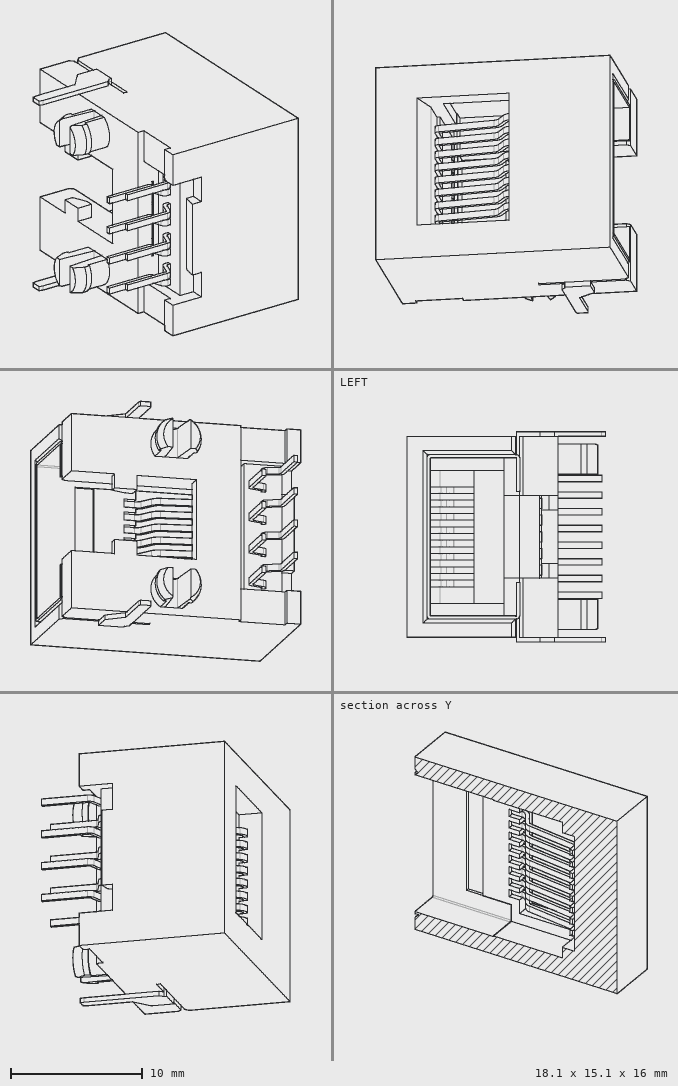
import cadquery as cq
import math


length = 18.1
depth = 11.5
half_height = 7.64

cavity_half = 6.03
cavity_top = 9.74
floor_y = 2.95
mouth_chamfer = 0.3
mouth_rim = 0.22
shield_bend = 0.1
shield_end = 7.02
inner_step = 0.05
cavity_end = 13.27
corner_front = 13.14
jamb_front = 13.2
corner_top = 4.13

slot_top = 3.25
slot_chamfer = 0.29
ledge_top = 3.17
ledge_inner = 3.45

channel_half = 3.13
channel_end = 9.86
bridge_top = 1.25
channel_back = 13.32
tab_start = 3.4
tab_slope_end = 4.6
tab_end = 5.18
tab_inner = 2.03
tab_front_height = 0.7

ceiling_recess_start = 3.02
ceiling_recess_end = 4.5
ceiling_recess_half = 4.52
ceiling_recess_depth = 0.25
window_start = 7.8

bay_half = 5.05
bay_start = 13.38
block_front = 14.03
block_upper_front = 14.28
block_bevel_start = 9.0
block_bevel_run = 0.62
shelf_top = 6.4
block_bottom = 1.41
notch_depth = 0.52
notch_end = 17.0
exit_roof = 2.62
rear_lip_half = 2.99
rear_lip_front = 2.0
rear_lip_rear = 1.8

post_x = 7.87
post_z = 5.7
post_flat_outer = 7.05
post_flat_inner = 4.75
shank_radius = 1.61
lip_radius = 1.75
tip_radius = 1.45
lip_top = -1.74
lip_bottom = -2.19
post_tip = -3.02
post_root = 0.18
split_root_half = 0.49
split_tip_half = 0.7

leg_face = 8.0
leg_left = 3.02
leg_top_right = 5.01
leg_right = 5.32
leg_pin_left = 4.36
leg_chamfer_bottom = 2.66
leg_shoulder = 1.4
leg_neck = 0.29
leg_tip_start = -3.3
leg_tip = -3.6
leg_tip_taper = 0.07

contact_count = 8
wire_width = 0.5
wire_thick = 0.3
contact_pitch = 1.01
groove_start = 6.86
groove_width = 0.62
groove_roof = 10.35
spring_drop_x = 8.16
spring_heel_x = 9.1
spring_heel_y = 8.69
spring_rear_x = 14.0
spring_rear_y = 8.07
spring_bend = 0.55
spring_rear_bend = 0.04
pin_pitch = 1.27
stem_x = 15.51
row_offset = 1.25
pin_tip = -3.33
stem_root = 1.63
stem_low = 0.98
pin_corner = 0.55
pin_bend = 0.15


def box(x0, x1, y0, y1, z0, z1):
    return cq.Workplane("XY").box(x1 - x0, y1 - y0, z1 - z0, centered=False).translate((x0, y0, z0))


def prism(points, z0, z1):
    """Extrude an XY outline between two heights."""
    return cq.Workplane("XY").workplane(offset=z0).polyline(points).close().extrude(z1 - z0)


def both_sides(shape):
    """A shape together with its mirror image across Z = 0."""
    return shape.union(shape.mirror("XY"))


def bent_wire(path, z_mid, inner_bends):
    """Flat wire along a path of centreline corners in XY, rounded at each bend."""
    angles = [math.atan2(b[1] - a[1], b[0] - a[0]) for a, b in zip(path, path[1:])]
    angles_before = angles[:1] + angles
    angles_after = angles + angles[-1:]
    left = []
    right = []
    for (x, y), before, after in zip(path, angles_before, angles_after):
        normal = (before + after + math.pi) / 2
        reach = wire_thick / 2 / math.cos((after - before) / 2)
        dx = reach * math.cos(normal)
        dy = reach * math.sin(normal)
        left.append((x + dx, y + dy))
        right.append((x - dx, y - dy))
    wire = prism(left + right[::-1], z_mid - wire_width / 2, z_mid + wire_width / 2)
    for i, inner_bend in enumerate(inner_bends, start=1):
        left_bend = inner_bend
        right_bend = inner_bend + wire_thick
        if angles[i] < angles[i - 1]:
            left_bend, right_bend = right_bend, left_bend
        for (x, y), bend in ((left[i], left_bend), (right[i], right_bend)):
            corner = cq.selectors.NearestToPointSelector((x, y, z_mid))
            wire = wire.edges("|Z").edges(corner).fillet(bend)
    return wire


def row_positions(pitch):
    return [(i - (contact_count - 1) / 2) * pitch for i in range(contact_count)]


def mouth():
    """Tapered lead-in around the three closed sides of the plug opening."""
    rim_half = cavity_half + mouth_rim
    rim_top = cavity_top + mouth_rim

    def section(x, half, top):
        points = [(slot_top, -half), (top, -half), (top, half), (slot_top, half)]
        return [cq.Vector(x, y, z) for y, z in points]

    wires = [
        cq.Wire.makePolygon(section(0, rim_half + mouth_chamfer, rim_top + mouth_chamfer), close=True),
        cq.Wire.makePolygon(section(mouth_chamfer, rim_half, rim_top), close=True),
    ]
    return cq.Workplane(obj=cq.Solid.makeLoft(wires, True))


def side_slot():
    """Slot through the side wall, flared at the front."""
    flare = [
        (0, floor_y - slot_chamfer),
        (slot_chamfer, floor_y),
        (shield_end, floor_y),
        (shield_end, slot_top),
        (slot_chamfer, slot_top),
        (0, slot_top + slot_chamfer),
    ]
    return both_sides(prism(flare, channel_half, half_height))


def shield_space(x_end):
    """Space inside the shield, with its bent upper corners."""
    space = box(0, x_end, floor_y, cavity_top, -cavity_half, cavity_half)
    return space.edges("|X and >Y").fillet(shield_bend)


def plug_cavity():
    tongue = box(
        ceiling_recess_end, shield_end, cavity_top - inner_step, cavity_top,
        -ceiling_recess_half, ceiling_recess_half,
    )
    front = shield_space(shield_end).cut(tongue)
    inner_half = cavity_half - inner_step
    rear = box(shield_end, cavity_end, floor_y, cavity_top - inner_step, -inner_half, inner_half)
    corners = both_sides(box(corner_front, cavity_end, floor_y, corner_top, channel_half, inner_half))
    jambs = both_sides(box(jamb_front, cavity_end, corner_top, cavity_top, bay_half, inner_half))
    recess = box(
        ceiling_recess_start, ceiling_recess_end, cavity_top, cavity_top + ceiling_recess_depth,
        -ceiling_recess_half, ceiling_recess_half,
    )
    return front.union(rear.cut(corners).cut(jambs)).union(recess).union(mouth()).union(side_slot())


def latch_channel():
    """Channel open to the board side at the front and closed by the bridge behind."""
    opening = box(0, channel_end, 0, floor_y, -channel_half, channel_half)
    over_bridge = box(channel_end, cavity_end, bridge_top, floor_y, -channel_half, channel_half)
    back = box(cavity_end, channel_back, floor_y, corner_top, -channel_half, channel_half)
    slit = box(cavity_end, bay_start, bridge_top, block_bottom, -channel_half, channel_half)
    return opening.union(over_bridge).union(back).union(slit)


def latch_tabs():
    outline = [
        (tab_start, 0),
        (tab_start, tab_front_height),
        (tab_slope_end, bridge_top),
        (tab_end, bridge_top),
        (tab_end, 0),
    ]
    return both_sides(prism(outline, tab_inner, channel_half))


def contact_bay():
    """Shaft for the contacts, window in the +Y wall and pin recess in the board side."""
    shaft = prism(
        [
            (bay_start, 0),
            (block_front, 0),
            (block_front, shelf_top),
            (block_upper_front, shelf_top),
            (block_upper_front, block_bevel_start),
            (block_upper_front + block_bevel_run, depth),
            (bay_start, depth),
        ],
        -bay_half, bay_half,
    )
    window = box(window_start, bay_start, cavity_top - inner_step, depth, -bay_half, bay_half)
    doorway = box(cavity_end, bay_start, corner_top, depth, -bay_half, bay_half)
    recess = box(block_front, notch_end, 0, block_bottom, -bay_half, bay_half)
    rear_exit = box(notch_end, length, 0, exit_roof, -bay_half, bay_half)
    rear_lip = prism(
        [(notch_end, exit_roof), (notch_end, rear_lip_front), (length, rear_lip_rear), (length, exit_roof)],
        -rear_lip_half, rear_lip_half,
    )
    notch = box(bay_start, notch_end, 0, notch_depth, -half_height, half_height)
    return shaft.union(window).union(doorway).union(recess).union(rear_exit.cut(rear_lip)).union(notch)


def shield_front():
    """Front edge of the shield around the plug opening, standing clear of the lead-in."""
    rim_half = cavity_half + mouth_rim
    rim = box(0, leg_left, floor_y, cavity_top + mouth_rim, -rim_half, rim_half)
    rim = rim.edges("|X").fillet(mouth_rim)
    return rim.cut(shield_space(leg_left))


def shield_ledges():
    ledge = box(0, shield_end, floor_y - inner_step, ledge_top, ledge_inner, cavity_half)
    return both_sides(ledge)


def ground_legs():
    """Strip lying in each side slot, bent down over the side wall into a board leg."""
    strip = box(leg_left, leg_top_right, floor_y - inner_step, ledge_top, cavity_half, leg_face)
    outline = [
        (leg_left, ledge_top),
        (leg_top_right, ledge_top),
        (leg_top_right, floor_y),
        (leg_right, leg_chamfer_bottom),
        (leg_right, leg_tip_start),
        (leg_right - leg_tip_taper, leg_tip),
        (leg_pin_left + leg_tip_taper, leg_tip),
        (leg_pin_left, leg_tip_start),
        (leg_pin_left, leg_neck),
        (leg_left, leg_shoulder),
    ]
    return both_sides(strip.union(prism(outline, half_height, leg_face)))


def board_posts():
    """Split snap posts with two flats and a barbed lip."""
    profile = [
        (0, post_root),
        (shank_radius, post_root),
        (shank_radius, lip_top),
        (lip_radius, lip_top),
        (lip_radius, lip_bottom),
        (tip_radius, post_tip),
        (0, post_tip),
    ]
    post = cq.Workplane("XY").polyline(profile).close().revolve(360, (0, 0), (0, 1))
    post = post.translate((post_x, 0, post_z))
    flats = box(
        post_x - lip_radius, post_x + lip_radius, post_tip, post_root, post_flat_inner, post_flat_outer
    )
    return both_sides(post.intersect(flats))


def post_splits():
    """Tapered gap in each post, with a round root sunk into the housing."""
    outline = (
        cq.Workplane("XY", origin=(post_x, 0, post_flat_inner))
        .moveTo(-split_tip_half, post_tip)
        .lineTo(split_tip_half, post_tip)
        .lineTo(split_root_half, 0)
        .threePointArc((0, split_root_half), (-split_root_half, 0))
        .close()
    )
    return both_sides(outline.extrude(post_flat_outer - post_flat_inner))


def contact_grooves():
    """Grooves in the ceiling that hold the front end of each spring."""
    side = groove_width / 2
    grooves = cq.Workplane("XY")
    for z in row_positions(contact_pitch):
        grooves = grooves.add(
            box(groove_start, window_start, cavity_top - inner_step, groove_roof, z - side, z + side)
        )
    return grooves.combine()


def spring_contacts():
    """Springs running back under the ceiling and down the shaft onto the shelf of the rear block."""
    path = [
        (groove_start, groove_roof - wire_thick / 2),
        (spring_drop_x, groove_roof - wire_thick / 2),
        (spring_heel_x, spring_heel_y),
        (spring_rear_x, spring_rear_y),
        (spring_rear_x, shelf_top),
    ]
    contacts = cq.Workplane("XY")
    for z in row_positions(contact_pitch):
        contacts = contacts.add(bent_wire(path, z, [spring_bend, spring_bend, spring_rear_bend]))
    return contacts.combine()


def solder_pins():
    """Pins splayed alternately to the inner and outer board rows."""
    pins = cq.Workplane("XY")
    for i, z in enumerate(row_positions(pin_pitch)):
        row_side = -1 if i % 2 == 0 else 1
        pin_x = stem_x + row_side * row_offset
        path = [(stem_x, stem_root), (stem_x, stem_low), (pin_x, pin_corner), (pin_x, pin_tip)]
        pins = pins.add(bent_wire(path, z, [pin_bend, pin_bend]))
    return pins.combine()


housing = box(0, length, 0, depth, -half_height, half_height)
housing = housing.cut(plug_cavity()).cut(latch_channel()).cut(contact_bay()).cut(contact_grooves())
housing = housing.union(latch_tabs()).union(shield_front()).union(shield_ledges()).union(ground_legs())
housing = housing.union(board_posts()).cut(post_splits())
result = housing.union(spring_contacts()).union(solder_pins()).solids()